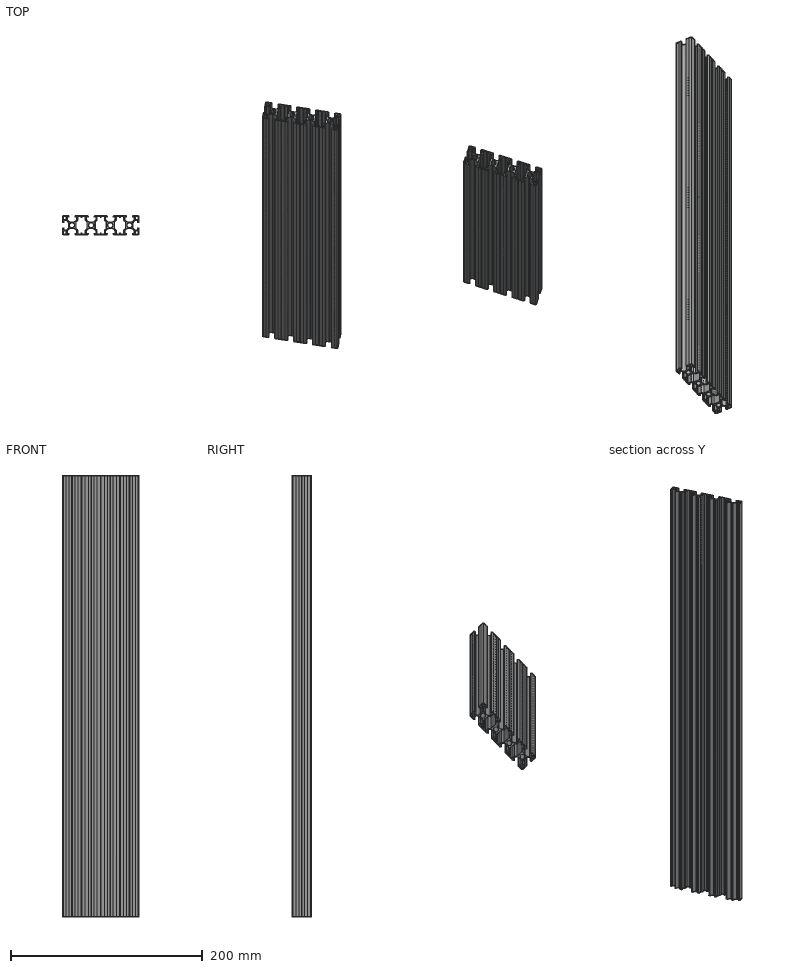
import cadquery as cq
import math

BEVEL_ANGLE = math.pi / 4
HALF_BEVEL_ANGLE = BEVEL_ANGLE / 2
SIN_45 = math.sin(BEVEL_ANGLE)

MODULE = 20.0
MODULE_COUNT = 4
LENGTH = 460.0
WIDTH = MODULE * MODULE_COUNT
HALF_WIDTH = WIDTH / 2
HALF_MODULE = MODULE / 2
CORNER_RADIUS = 1.5

THROAT_HALF = 3.0
SLOT_HALF = 4.9
LIP_THICKNESS = 1.5
LIP_HEIGHT = HALF_MODULE - LIP_THICKNESS
FLOOR_HEIGHT = 3.5
FLOOR_FLAT_HALF = 1.9
FLOOR_RADIUS = 2.0

MOUTH_BEVEL = 0.8
MOUTH_HALF = THROAT_HALF + MOUTH_BEVEL
MOUTH_RADIUS = 0.4

MARK_HALF = 0.4
MARK_DEPTH = MARK_HALF / 2

CHAMBER_HALF_HEIGHT = 9.2
CHAMBER_NECK_HALF = 3.7
CHAMBER_WAIST_HALF = 5.65
CHAMBER_NECK_HEIGHT = 5.4
CHAMBER_WAIST_HEIGHT = CHAMBER_NECK_HEIGHT - (CHAMBER_WAIST_HALF - CHAMBER_NECK_HALF)
RIB_HALF = 0.4
RIB_TIP_HEIGHT = 8.0

BORE_DIAMETER = 5.2
CORNER_HOLLOW_INNER = 6.2
CORNER_HOLLOW_OUTER = 9.0
CORNER_HOLLOW_SIZE = CORNER_HOLLOW_OUTER - CORNER_HOLLOW_INNER
CORNER_HOLLOW_MIDDLE = (CORNER_HOLLOW_OUTER + CORNER_HOLLOW_INNER) / 2

SLOT_CENTERS = [(i + 0.5) * MODULE - HALF_WIDTH for i in range(MODULE_COUNT)]
CHAMBER_CENTERS = [(i + 1) * MODULE - HALF_WIDTH for i in range(MODULE_COUNT - 1)]


def prism(points):
    """Full-length prism on a closed outline."""
    return cq.Workplane("XY").polyline(points).close().extrude(LENGTH)


def mirrored_in_x(right_side):
    """Closed outline from its right side, listed from one end to the other."""
    return right_side + [(-x, y) for x, y in reversed(right_side)]


def placed(shape, center_x, angle):
    """Turn a shape about its module axis, then move it to that module."""
    return shape.rotate((0, 0, 0), (0, 0, 1), angle).translate((center_x, 0, 0))


def slot_cutter():
    """T-slot opening toward +Y, its floor rounded into 45-degree walls and marked at the centre."""
    wall_start_x = FLOOR_FLAT_HALF + FLOOR_RADIUS * SIN_45
    wall_start_y = FLOOR_HEIGHT + FLOOR_RADIUS * (1 - SIN_45)
    arc_middle_x = FLOOR_FLAT_HALF + FLOOR_RADIUS * math.sin(HALF_BEVEL_ANGLE)
    arc_middle_y = FLOOR_HEIGHT + FLOOR_RADIUS * (1 - math.cos(HALF_BEVEL_ANGLE))
    wall_end_y = wall_start_y + SLOT_HALF - wall_start_x
    right_half = (
        cq.Workplane("XY")
        .moveTo(0, HALF_MODULE)
        .lineTo(THROAT_HALF, HALF_MODULE)
        .lineTo(THROAT_HALF, LIP_HEIGHT)
        .lineTo(SLOT_HALF, LIP_HEIGHT)
        .lineTo(SLOT_HALF, wall_end_y)
        .lineTo(wall_start_x, wall_start_y)
        .threePointArc((arc_middle_x, arc_middle_y), (FLOOR_FLAT_HALF, FLOOR_HEIGHT))
        .lineTo(MARK_HALF, FLOOR_HEIGHT)
        .lineTo(0, FLOOR_HEIGHT - MARK_DEPTH)
        .close()
        .extrude(LENGTH)
    )
    return right_half.union(right_half.mirror("YZ"))


def mouth_cutter():
    """45-degree bevel of a slot mouth, rounded where it meets the +Y outer face."""
    tangent = MOUTH_RADIUS * math.tan(HALF_BEVEL_ANGLE)
    arc_end_x = MOUTH_HALF + tangent
    arc_start_x = MOUTH_HALF - tangent * SIN_45
    arc_start_y = HALF_MODULE - tangent * SIN_45
    arc_middle_x = arc_end_x - MOUTH_RADIUS * math.sin(HALF_BEVEL_ANGLE)
    arc_middle_y = HALF_MODULE - MOUTH_RADIUS * (1 - math.cos(HALF_BEVEL_ANGLE))
    throat_y = HALF_MODULE - MOUTH_BEVEL
    return (
        cq.Workplane("XY")
        .moveTo(arc_end_x, HALF_MODULE)
        .threePointArc((arc_middle_x, arc_middle_y), (arc_start_x, arc_start_y))
        .lineTo(THROAT_HALF, throat_y)
        .lineTo(-THROAT_HALF, throat_y)
        .lineTo(-arc_start_x, arc_start_y)
        .threePointArc((-arc_middle_x, arc_middle_y), (-arc_end_x, HALF_MODULE))
        .close()
        .extrude(LENGTH)
    )


def face_mark_cutter():
    """V mark in the +Y outer face."""
    return prism([
        (-MARK_HALF, HALF_MODULE),
        (MARK_HALF, HALF_MODULE),
        (0, HALF_MODULE - MARK_DEPTH),
    ])


def chamber_cutter():
    """Hollow chamber, wide at its waist, indented by a rib on each outer wall."""
    upper_right = [
        (RIB_HALF, RIB_TIP_HEIGHT),
        (RIB_HALF, CHAMBER_HALF_HEIGHT),
        (CHAMBER_NECK_HALF, CHAMBER_HALF_HEIGHT),
        (CHAMBER_NECK_HALF, CHAMBER_NECK_HEIGHT),
        (CHAMBER_WAIST_HALF, CHAMBER_WAIST_HEIGHT),
    ]
    lower_right = [(x, -y) for x, y in reversed(upper_right)]
    return prism(mirrored_in_x(upper_right + lower_right))


def core_bores():
    centers = [(x, 0) for x in SLOT_CENTERS]
    return cq.Workplane("XY").pushPoints(centers).circle(BORE_DIAMETER / 2).extrude(LENGTH)


def corner_hollows():
    x = SLOT_CENTERS[-1] + CORNER_HOLLOW_MIDDLE
    y = CORNER_HOLLOW_MIDDLE
    centers = [(x, y), (-x, y), (-x, -y), (x, -y)]
    squares = cq.Workplane("XY").pushPoints(centers).rect(CORNER_HOLLOW_SIZE, CORNER_HOLLOW_SIZE)
    return squares.extrude(LENGTH)


def make_extrusion():
    body = cq.Workplane("XY").rect(WIDTH, MODULE).extrude(LENGTH)
    body = body.edges("|Z").fillet(CORNER_RADIUS)
    slot = slot_cutter()
    wide_face_slot = slot.union(mouth_cutter())
    for x in SLOT_CENTERS:
        for angle in (0, 180):
            body = body.cut(placed(wide_face_slot, x, angle))
    body = body.cut(placed(slot, SLOT_CENTERS[0], 90))
    body = body.cut(placed(slot, SLOT_CENTERS[-1], -90))
    chamber = chamber_cutter()
    face_mark = face_mark_cutter()
    for x in CHAMBER_CENTERS:
        body = body.cut(chamber.translate((x, 0, 0)))
        for angle in (0, 180):
            body = body.cut(placed(face_mark, x, angle))
    return body.cut(core_bores()).cut(corner_hollows())


result = make_extrusion()